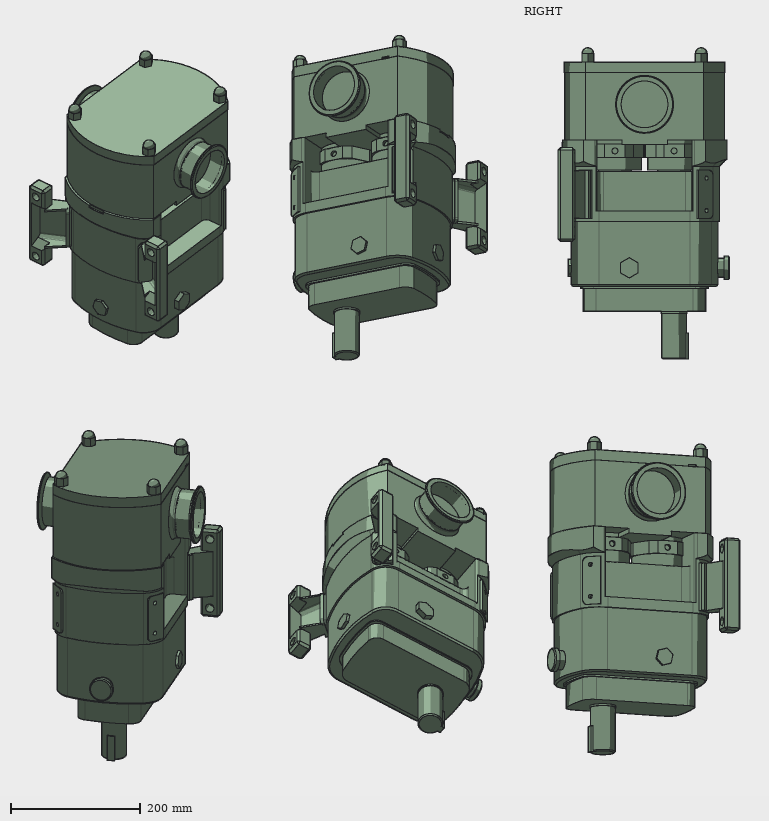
import cadquery as cq
import math

BEARING_COVER_Z = 73.5
FLANGE_Z = 109.0
LOWER_BOX_Z = 112.0
UPPER_BOX_Z = 212.5
COLLAR_BAND_Z = 297.5
ROTOR_CASE_Z = 338.5
COVER_Z = 442.5
COVER_TOP_Z = 458.5
TOTAL_HEIGHT = 481.0

BEARING_COVER = (50.0, 95.0, 240.5)
FLANGE = (53.0, 99.0, 240.5)
LOWER_BOX = (83.5, 113.5, 182.5)
UPPER_BOX = (87.0, 116.0, 192.5)
COLLAR_BAND = (87.5, 127.5, 132.0)
ROTOR_CASE = (85.5, 123.5, 130.0)
COVER = (86.0, 124.0, 130.0)
BEARING_COVER_CORNER = 18.0
LOWER_BOX_CORNER = 35.0
UPPER_BOX_CORNER = 37.5
LOWER_BOX_CHAMFER = 3.0
BAND_TAPER_HEIGHT = 10.5

PAD_ANGLE = 40.0
PAD_ROOT = 113.0
PAD_FACE = 121.0
PAD_WIDTH = 29.0
PAD_MIDDLE = 21.5
PAD_BOTTOM_Z = 217.0
PAD_TOP_Z = 292.0
PAD_MID_Z = (PAD_BOTTOM_Z + PAD_TOP_Z) / 2
PAD_CORNER = 7.0
PAD_HOLE_DIAMETER = 6.3
PAD_HOLE_DEPTH = 9.5
PAD_HOLE_PITCH = 50.0
PAD_HOLE_ALONG = 23.5

WINDOW_HALF_WIDTH = 73.0
WINDOW_FLOOR_Z = 229.0
WINDOW_OPEN_Z = 290.0
WINDOW_BACK_X = 56.0
WINDOW_CORNER = 9.5
WINDOW_EDGE_ROUND = 4.5
SHAFT_Y = 45.5
SEAL_RING_Z = 292.0
SEAL_COLLAR_Z = 311.0
SEAL_HUB_Z = 332.0
SEAL_NECK_RADIUS = 25.5
SEAL_RING_RADIUS = 41.5
SEAL_COLLAR_RADIUS = 44.5
SEAL_FLAT_X = 42.0
SEAL_HOLE_DIAMETER = 9.0
SEAL_HOLE_DEPTH = 5.0
CASE_TAB_HALF_WIDTH = 35.0
CASE_TAB_LENGTH = 7.0
OVERLAP = 1.0

SHAFT_RADIUS = 19.0
SHAFT_CHAMFER = 2.0
SHAFT_COLLAR_RADIUS = 20.0
SHAFT_COLLAR_Z = 70.5
KEY_LENGTH = 40.5
KEY_WIDTH = 11.5
KEY_RISE = 3.0

NOZZLE_Z = 393.5
NOZZLE_BORE_RADIUS = 36.0
NOZZLE_TUBE_RADIUS = 38.0
NOZZLE_FLARE_RADIUS = 41.5
NOZZLE_FERRULE_RADIUS = 44.5
NOZZLE_END_X = 123.5
NOZZLE_RIM_X = 120.5
NOZZLE_CONE_X = 117.0
NOZZLE_FLARE_X = 92.0
NOZZLE_FLARE_HOLLOW = 0.5
NOZZLE_WELD_X = 94.5
NOZZLE_FLOOR_X = 95.5
NOZZLE_RIM_CHAMFER = 1.5
NOZZLE_WELD_RISE = 0.5

NUT_X = 73.5
NUT_Y = 87.5
NUT_ACROSS_CORNERS = 21.5
NUT_DOME_RADIUS = 9.0

PLUG_Z = 141.0
PLUG_ACROSS_CORNERS = 28.0
PLUG_TURN = 16.0
PLUG_RISE = 4.5
SIDE_PLUG_Y = -23.5
SIDE_CAP_ACROSS_CORNERS = 31.3
SIDE_CAP_END_X = 92.0
BREATHER_NECK_RADIUS = 15.0
BREATHER_HEAD_RADIUS = 18.5
BREATHER_HEAD_Y = 123.0
BREATHER_END_Y = 131.5
BREATHER_CHAMFER = 2.0

BAND_SLOT_WIDTH = 28.0
BAND_SLOT_HEIGHT = 4.5
COVER_SLOT_WIDTH = 12.5
COVER_SLOT_HEIGHT = 3.0
COVER_SLOT_Y = -69.5
SLOT_DEPTH = 3.0

OVERALL_WIDTH = 258.0
FOOT_BAR_INNER_X = 99.0
FOOT_BAR_OUTER_X = OVERALL_WIDTH / 2
FOOT_BAR_BACK_Y = -107.5
FOOT_BAR_FRONT_Y = -133.5
FOOT_BAR_BOTTOM_Z = 181.8
FOOT_BAR_TOP_Z = 326.5
FOOT_MID_Z = (FOOT_BAR_BOTTOM_Z + FOOT_BAR_TOP_Z) / 2
FOOT_EDGE_CHAMFER = 4.0
FOOT_HOLE_X = 114.0
FOOT_HOLE_PITCH = 114.5
FOOT_HOLE_DIAMETER = 13.5
FOOT_PLATE_THICKNESS = 5.5
FOOT_PLATE_WIDTH = 31.5
FOOT_PLATE_FACE = PAD_FACE + FOOT_PLATE_THICKNESS
FOOT_ARM_HEIGHT = 74.0
FOOT_BACK_ROOT = (87.5, -91.5)
FOOT_BACK_END = (119.2, -107.5)
FOOT_FRONT_END = (99.0, -131.0)
FOOT_FRONT_ROOT = (73.0, -106.0)
FOOT_CHANNEL_HEIGHT = 67.5
FOOT_CHANNEL_ROUND = 6.0
FOOT_CHANNEL_ROOT = 17.0
FOOT_CHANNEL_END = 43.5
FOOT_CHANNEL_OUTER_X = 122.0
FOOT_BAR_GAP_HEIGHT = 82.5
FOOT_FLARE_BACK_Y = -118.0


def barrel(section, bottom_z, top_z):
    """Prism with flat +X and -X sides and bulged +Y and -Y ends."""
    half_x, apex_y, radius = section
    corner_y = apex_y - radius + math.sqrt(radius**2 - half_x**2)
    return (
        cq.Workplane("XY", origin=(0, 0, bottom_z))
        .moveTo(half_x, -corner_y)
        .lineTo(half_x, corner_y)
        .threePointArc((0, apex_y), (-half_x, corner_y))
        .lineTo(-half_x, -corner_y)
        .threePointArc((0, -apex_y), (half_x, -corner_y))
        .close()
        .extrude(top_z - bottom_z)
    )


def block(x_range, y_range, z_range):
    """Box given by its limits along each axis."""
    return cq.Workplane("XY").box(
        x_range[1] - x_range[0],
        y_range[1] - y_range[0],
        z_range[1] - z_range[0],
        centered=False,
    ).translate((x_range[0], y_range[0], z_range[0]))


def cylinder(radius, bottom_z, top_z, y=0.0):
    """Upright cylinder on the plane X = 0."""
    return cq.Workplane("XY", origin=(0, y, bottom_z)).circle(radius).extrude(top_z - bottom_z)


def corner_plate(near, far, width, bottom_z, top_z):
    """Plate parallel to the +X +Y pad face, rounded along its outer end."""
    along = (PAD_MIDDLE - PAD_WIDTH / 2, PAD_MIDDLE - PAD_WIDTH / 2 + width)
    plate = block((near, far), along, (bottom_z, top_z))
    plate = plate.edges("|X and >Y").fillet(PAD_CORNER)
    return plate.rotate((0, 0, 0), (0, 0, 1), PAD_ANGLE)


def pad_holes():
    """Tapped holes of the +X +Y pad."""
    holes = (
        cq.Workplane("YZ", origin=(PAD_FACE, PAD_HOLE_ALONG, PAD_MID_Z))
        .rarray(5, PAD_HOLE_PITCH, 1, 2)
        .circle(PAD_HOLE_DIAMETER / 2)
        .extrude(-PAD_HOLE_DEPTH)
    )
    return holes.rotate((0, 0, 0), (0, 0, 1), PAD_ANGLE)


def gearbox():
    """Bearing cover, gearbox and collar band, with pads on the four diagonals."""
    bearing_cover = barrel(BEARING_COVER, BEARING_COVER_Z, FLANGE_Z).edges("|Z").fillet(BEARING_COVER_CORNER)
    flange = barrel(FLANGE, FLANGE_Z, LOWER_BOX_Z).edges("|Z").fillet(BEARING_COVER_CORNER)
    lower = barrel(LOWER_BOX, LOWER_BOX_Z, UPPER_BOX_Z).edges("|Z").fillet(LOWER_BOX_CORNER)
    lower = lower.faces("<Z").edges().chamfer(LOWER_BOX_CHAMFER)
    upper = barrel(UPPER_BOX, UPPER_BOX_Z, ROTOR_CASE_Z).edges("|Z").fillet(UPPER_BOX_CORNER)

    band = barrel(COLLAR_BAND, COLLAR_BAND_Z, ROTOR_CASE_Z)
    outline = upper.faces("<Z").wires().val().translate((0, 0, COLLAR_BAND_Z - UPPER_BOX_Z))
    slope = cq.Workplane("XY", origin=(0, 0, COLLAR_BAND_Z)).add(outline).toPending()
    slope = slope.extrude(BAND_TAPER_HEIGHT, taper=-45)
    upright = barrel(COLLAR_BAND, COLLAR_BAND_Z + BAND_TAPER_HEIGHT, ROTOR_CASE_Z)
    band = upright.union(band.intersect(slope))

    body = bearing_cover.union(flange).union(lower).union(upper).union(band)
    pad = corner_plate(PAD_ROOT, PAD_FACE, PAD_WIDTH, PAD_BOTTOM_Z, PAD_TOP_Z)
    for mirrored in (pad, pad.mirror("XZ")):
        body = body.union(mirrored).union(mirrored.mirror("YZ"))
    return body.cut(pad_holes()).cut(pad_holes().mirror("YZ"))


def windows():
    """Opening through the collar, and a pocket below it on either side."""
    width = (-WINDOW_HALF_WIDTH, WINDOW_HALF_WIDTH)
    mouth_x = COLLAR_BAND[0]
    lip_x = mouth_x - WINDOW_EDGE_ROUND
    lip_y = WINDOW_HALF_WIDTH + WINDOW_EDGE_ROUND
    lip_mid = (
        lip_x + WINDOW_EDGE_ROUND * math.sin(math.pi / 4),
        lip_y - WINDOW_EDGE_ROUND * math.cos(math.pi / 4),
    )
    opening = block((-mouth_x, mouth_x), width, (WINDOW_OPEN_Z, ROTOR_CASE_Z))
    pocket = (
        cq.Workplane("XY", origin=(0, 0, WINDOW_FLOOR_Z))
        .moveTo(WINDOW_BACK_X, -WINDOW_HALF_WIDTH)
        .lineTo(lip_x, -WINDOW_HALF_WIDTH)
        .threePointArc((lip_mid[0], -lip_mid[1]), (mouth_x, -lip_y))
        .lineTo(mouth_x, lip_y)
        .threePointArc(lip_mid, (lip_x, WINDOW_HALF_WIDTH))
        .lineTo(WINDOW_BACK_X, WINDOW_HALF_WIDTH)
        .close()
        .extrude(ROTOR_CASE_Z - WINDOW_FLOOR_Z)
    )
    pocket = pocket.edges("|Z and <X").fillet(WINDOW_CORNER)
    return opening.union(pocket).union(pocket.mirror("YZ"))


def seal(y):
    """Shaft seal with a hexagonal collar, hanging from the rotor case."""
    neck = cylinder(SEAL_NECK_RADIUS, WINDOW_OPEN_Z - OVERLAP, SEAL_RING_Z, y)
    ring = cylinder(SEAL_RING_RADIUS, SEAL_RING_Z, SEAL_COLLAR_Z, y)
    collar = cylinder(SEAL_COLLAR_RADIUS, SEAL_COLLAR_Z, SEAL_HUB_Z, y)
    flats = cq.Workplane("XY", origin=(0, y, SEAL_COLLAR_Z)).polygon(6, SEAL_FLAT_X * 2, circumscribed=True)
    flats = flats.extrude(SEAL_HUB_Z - SEAL_COLLAR_Z)
    screw_hole = (
        cq.Workplane("YZ", origin=(-SEAL_FLAT_X, y, (SEAL_COLLAR_Z + SEAL_HUB_Z) / 2))
        .circle(SEAL_HOLE_DIAMETER / 2)
        .extrude(SEAL_HOLE_DEPTH)
    )
    collar = collar.intersect(flats).cut(screw_hole).cut(screw_hole.mirror("YZ"))
    hub = cylinder(SEAL_RING_RADIUS, SEAL_HUB_Z, ROTOR_CASE_Z + OVERLAP, y)
    return neck.union(ring).union(collar).union(hub)


def rotor_case():
    """Rotor case with its cover and the tab that reaches into the windows."""
    case = barrel(ROTOR_CASE, ROTOR_CASE_Z, COVER_Z)
    cover = barrel(COVER, COVER_Z, COVER_TOP_Z)
    tab = block(
        (-ROTOR_CASE[0], ROTOR_CASE[0]),
        (-CASE_TAB_HALF_WIDTH, CASE_TAB_HALF_WIDTH),
        (ROTOR_CASE_Z - CASE_TAB_LENGTH, ROTOR_CASE_Z + OVERLAP),
    )
    return case.union(cover).union(tab)


def nozzle():
    """Blind pipe stub with a clamp ferrule on the +X side."""
    root_x = ROTOR_CASE[0] - OVERLAP
    weld_radius = NOZZLE_TUBE_RADIUS + NOZZLE_WELD_RISE
    flare_mid = (
        (ROTOR_CASE[0] + NOZZLE_FLARE_X) / 2 - NOZZLE_FLARE_HOLLOW,
        (NOZZLE_FLARE_RADIUS + weld_radius) / 2 - NOZZLE_FLARE_HOLLOW,
    )
    return (
        cq.Workplane("XY")
        .moveTo(root_x, 0)
        .lineTo(root_x, NOZZLE_FLARE_RADIUS)
        .lineTo(ROTOR_CASE[0], NOZZLE_FLARE_RADIUS)
        .threePointArc(flare_mid, (NOZZLE_FLARE_X, weld_radius))
        .lineTo(NOZZLE_WELD_X, weld_radius)
        .lineTo(NOZZLE_WELD_X, NOZZLE_TUBE_RADIUS)
        .lineTo(NOZZLE_CONE_X, NOZZLE_TUBE_RADIUS)
        .lineTo(NOZZLE_RIM_X, NOZZLE_FERRULE_RADIUS)
        .lineTo(NOZZLE_END_X - NOZZLE_RIM_CHAMFER, NOZZLE_FERRULE_RADIUS)
        .lineTo(NOZZLE_END_X, NOZZLE_FERRULE_RADIUS - NOZZLE_RIM_CHAMFER)
        .lineTo(NOZZLE_END_X, NOZZLE_BORE_RADIUS)
        .lineTo(NOZZLE_FLOOR_X, NOZZLE_BORE_RADIUS)
        .lineTo(NOZZLE_FLOOR_X, 0)
        .close()
        .revolve(360, (0, 0, 0), (1, 0, 0))
        .translate((0, 0, NOZZLE_Z))
    )


def drive_shaft():
    """Offset shaft with a key on its +Y side."""
    shaft = cylinder(SHAFT_RADIUS, 0, BEARING_COVER_Z + OVERLAP, SHAFT_Y)
    shaft = shaft.faces("<Z").chamfer(SHAFT_CHAMFER)
    key = block(
        (-KEY_WIDTH / 2, KEY_WIDTH / 2),
        (SHAFT_Y, SHAFT_Y + SHAFT_RADIUS + KEY_RISE),
        (0, KEY_LENGTH),
    )
    collar = cylinder(SHAFT_COLLAR_RADIUS, SHAFT_COLLAR_Z, BEARING_COVER_Z + OVERLAP, SHAFT_Y)
    return shaft.union(key).union(collar)


def domed_nut(x, y):
    """Hexagon with a dome on top."""
    dome_z = TOTAL_HEIGHT - NUT_DOME_RADIUS
    base_z = COVER_TOP_Z - OVERLAP
    hexagon = cq.Workplane("XY", origin=(x, y, base_z)).polygon(6, NUT_ACROSS_CORNERS)
    dome = cq.Workplane("XY", origin=(x, y, dome_z)).sphere(NUT_DOME_RADIUS)
    return hexagon.extrude(dome_z - base_z).union(dome)


def gearbox_plugs():
    """Hexagon plugs, side cap and breather around the lower gearbox."""
    half_x, half_y = LOWER_BOX[0], LOWER_BOX[1]
    hexagon = cq.Workplane("XY").polygon(6, PLUG_ACROSS_CORNERS).extrude(PLUG_RISE + OVERLAP)
    hexagon = hexagon.rotate((0, 0, 0), (0, 0, 1), PLUG_TURN)
    front_plug = hexagon.rotate((0, 0, 0), (1, 0, 0), 90)
    side_plug = front_plug.rotate((0, 0, 0), (0, 0, 1), -90)
    front_plug = front_plug.translate((0, OVERLAP - half_y, PLUG_Z))
    side_plug = side_plug.translate((OVERLAP - half_x, SIDE_PLUG_Y, PLUG_Z))

    cap = cq.Workplane("XY").polygon(6, SIDE_CAP_ACROSS_CORNERS).extrude(SIDE_CAP_END_X - half_x + OVERLAP)
    cap = cap.rotate((0, 0, 0), (0, 1, 0), 90).translate((half_x - OVERLAP, SIDE_PLUG_Y, PLUG_Z))

    neck_y = half_y - OVERLAP
    neck = cq.Workplane("XZ", origin=(0, neck_y, PLUG_Z)).circle(BREATHER_NECK_RADIUS)
    neck = neck.extrude(neck_y - BREATHER_HEAD_Y)
    head = cq.Workplane("XZ", origin=(0, BREATHER_HEAD_Y, PLUG_Z)).circle(BREATHER_HEAD_RADIUS)
    head = head.extrude(BREATHER_HEAD_Y - BREATHER_END_Y).faces(">Y").chamfer(BREATHER_CHAMFER)
    return front_plug.union(side_plug).union(cap).union(neck).union(head)


def pry_slots():
    """Slot at the top of the band on the -Y side, and one under the cover on the -X side."""
    band_y = -COLLAR_BAND[1]
    band_slot = block(
        (-BAND_SLOT_WIDTH / 2, BAND_SLOT_WIDTH / 2),
        (band_y, band_y + SLOT_DEPTH),
        (ROTOR_CASE_Z - BAND_SLOT_HEIGHT, ROTOR_CASE_Z),
    )
    cover_slot = block(
        (-COVER[0], SLOT_DEPTH - COVER[0]),
        (COVER_SLOT_Y - COVER_SLOT_WIDTH / 2, COVER_SLOT_Y + COVER_SLOT_WIDTH / 2),
        (COVER_Z, COVER_Z + COVER_SLOT_HEIGHT),
    )
    return band_slot.union(cover_slot)


def pump():
    """The whole pump with its gearbox, without the feet."""
    body = gearbox().cut(windows()).union(rotor_case())
    for side in (-1, 1):
        body = body.union(seal(side * SHAFT_Y))
    body = body.union(nozzle()).union(nozzle().mirror("YZ"))
    for x in (-NUT_X, NUT_X):
        for y in (-NUT_Y, NUT_Y):
            body = body.union(domed_nut(x, y))
    return body.union(drive_shaft()).union(gearbox_plugs()).cut(pry_slots())


def centred(height):
    """Z limits of a stretch centred on the feet."""
    return (FOOT_MID_Z - height / 2, FOOT_MID_Z + height / 2)


def plan_prism(points, height):
    """Prism with the given XY outline, centred on the feet."""
    bottom_z = centred(height)[0]
    return cq.Workplane("XY", origin=(0, 0, bottom_z)).polyline(points).close().extrude(height)


def plate_face_point(along):
    """XY point on the outer face of the foot plate, on the +X -Y corner."""
    angle = math.radians(PAD_ANGLE)
    x = FOOT_PLATE_FACE * math.cos(angle) - along * math.sin(angle)
    y = FOOT_PLATE_FACE * math.sin(angle) + along * math.cos(angle)
    return (x, -y)


def foot_channel():
    """Channel open towards -Y between the two ribs of the arm, flaring out in the bar."""
    web_slope = (FOOT_BACK_END[1] - FOOT_BACK_ROOT[1]) / (FOOT_BACK_END[0] - FOOT_BACK_ROOT[0])
    web_root = plate_face_point(FOOT_CHANNEL_ROOT)
    plate_end = plate_face_point(FOOT_CHANNEL_END)
    web_end = (FOOT_CHANNEL_OUTER_X, web_root[1] + web_slope * (FOOT_CHANNEL_OUTER_X - web_root[0]))
    front_y = FOOT_BAR_FRONT_Y
    outline = [
        web_root,
        web_end,
        (FOOT_CHANNEL_OUTER_X, front_y),
        (plate_end[0], front_y),
        plate_end,
    ]
    channel = plan_prism(outline, FOOT_CHANNEL_HEIGHT)
    web_middle = ((web_root[0] + web_end[0]) / 2, (web_root[1] + web_end[1]) / 2, FOOT_MID_Z)
    web_face = channel.faces(cq.NearestToPointSelector(web_middle))
    channel = web_face.edges("not |Z").fillet(FOOT_CHANNEL_ROUND)

    flare = (
        cq.Workplane("YZ", origin=(FOOT_BAR_INNER_X, 0, FOOT_MID_Z))
        .moveTo(front_y, -FOOT_BAR_GAP_HEIGHT / 2)
        .lineTo(front_y, FOOT_BAR_GAP_HEIGHT / 2)
        .lineTo(FOOT_FLARE_BACK_Y, FOOT_CHANNEL_HEIGHT / 2)
        .lineTo(FOOT_FLARE_BACK_Y, -FOOT_CHANNEL_HEIGHT / 2)
        .close()
        .extrude(FOOT_CHANNEL_OUTER_X - FOOT_BAR_INNER_X)
    )
    return channel.union(flare)


def foot_holes():
    """Bolt holes through both ends of the bar."""
    holes = cq.Workplane("XZ", origin=(FOOT_HOLE_X, FOOT_BAR_BACK_Y, FOOT_MID_Z))
    holes = holes.rarray(5, FOOT_HOLE_PITCH, 1, 2).circle(FOOT_HOLE_DIAMETER / 2)
    return holes.extrude(FOOT_BAR_BACK_Y - FOOT_BAR_FRONT_Y)


def foot(side):
    """Foot on the -Y corner of one side: corner plate, channel arm and slotted bar."""
    bar = block(
        (FOOT_BAR_INNER_X, FOOT_BAR_OUTER_X),
        (FOOT_BAR_FRONT_Y, FOOT_BAR_BACK_Y),
        (FOOT_BAR_BOTTOM_Z, FOOT_BAR_TOP_Z),
    )
    bar = bar.edges().chamfer(FOOT_EDGE_CHAMFER)

    bottom_z, top_z = centred(FOOT_ARM_HEIGHT)
    plate = corner_plate(PAD_FACE, FOOT_PLATE_FACE, FOOT_PLATE_WIDTH, bottom_z, top_z)
    plate = plate.mirror("XZ")

    arm_outline = [FOOT_BACK_ROOT, FOOT_BACK_END, FOOT_FRONT_END, FOOT_FRONT_ROOT]
    arm = plan_prism(arm_outline, FOOT_ARM_HEIGHT)

    body = bar.union(plate).union(arm).cut(foot_channel()).cut(foot_holes())
    return body if side > 0 else body.mirror("YZ")


pump_body = pump()
feet = [foot(side) for side in (-1, 1)]
result = cq.Compound.makeCompound([pump_body.val(), *[each.val() for each in feet]])